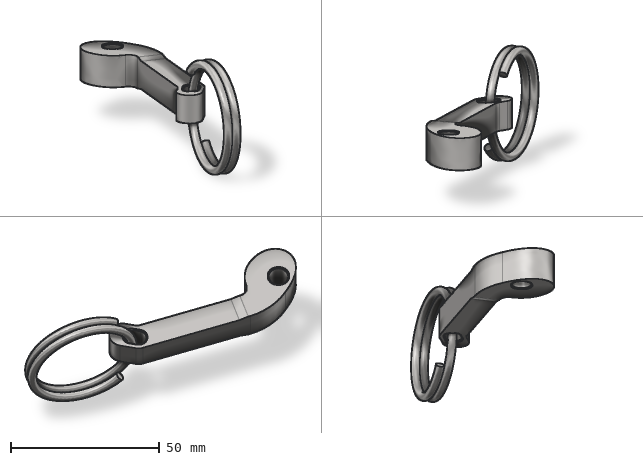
import math

import cadquery as cq


overall_length = 99.4

head_thickness = 11.2
arm_thickness = 9.9
taper_start_x = 22.2
taper_end_x = 25.3
profile_margin = 1.0

arm_width = 8.9
arm_top_y = 23.3
arm_bottom_y = arm_top_y - arm_width
arm_middle_y = arm_top_y - arm_width / 2
bend_x = 59.7
bend_angle = math.radians(30)
bend_to_tip = 5.6
inner_bend_radius = 3.5

shoulder_start_x = 21.5
shoulder_end = (7.2, 18.0)
head_edge_points = [
    (2.5, 13.3),
    (0, 7.0),
    (2.0, 2.1),
    (7.2, 0),
    (13.2, 1.8),
    (17.1, 5.5),
]
head_edge_start_direction = (-0.8, -0.6)
head_edge_end_direction = (0, 1)
head_right_x = 18.7
neck_radius = 3.2

pin_hole_diameter = 6.6
pin_hole_center = (7.3, 11.1)
slot_width = 5.4
slot_center_distance = 2.4
edge_chamfer = 0.4
chamfer_angle = 45

wire_diameter = 3.0
ring_outer_radius = 19.6
ring_center_x = overall_length - ring_outer_radius
ring_start_y = 15.5
coil_advance = 5.3
coil_turns = 1.75
coil_pitch = coil_advance / coil_turns
ring_start_angle = 135


def beside_bend(along, across):
    """Point measured from the bend: along the turned centre line and to its upper side."""
    cos_bend = math.cos(bend_angle)
    sin_bend = math.sin(bend_angle)
    return (
        bend_x + along * cos_bend + across * sin_bend,
        arm_middle_y - along * sin_bend + across * cos_bend,
    )


def make_plan():
    """Outline of the lever in the XY plane, extruded to the full head thickness."""
    half_width = arm_width / 2
    half_bend = bend_angle / 2
    corner_offset = half_width * math.tan(half_bend)
    tangent_length = inner_bend_radius * math.tan(half_bend)
    inner_bend_start = (bend_x - corner_offset - tangent_length, arm_bottom_y)
    inner_bend_end = beside_bend(corner_offset + tangent_length, -half_width)
    outer_bend_middle = (
        bend_x + half_width * math.sin(half_bend),
        arm_middle_y + half_width * math.cos(half_bend),
    )
    neck_arm_point = (head_right_x + neck_radius, arm_bottom_y)
    neck_head_point = (head_right_x, arm_bottom_y - neck_radius)
    neck_inset = neck_radius * (1 - math.sqrt(0.5))
    neck_middle = (head_right_x + neck_inset, arm_bottom_y - neck_inset)
    return (
        cq.Workplane("XY")
        .workplane(offset=-head_thickness / 2)
        .moveTo(bend_x, arm_top_y)
        .lineTo(shoulder_start_x, arm_top_y)
        .tangentArcPoint(shoulder_end, relative=False)
        .spline(
            head_edge_points + [neck_head_point],
            tangents=[head_edge_start_direction, head_edge_end_direction],
            scale=False,
            includeCurrent=True,
        )
        .threePointArc(neck_middle, neck_arm_point)
        .lineTo(*inner_bend_start)
        .tangentArcPoint(inner_bend_end, relative=False)
        .lineTo(*beside_bend(bend_to_tip, -half_width))
        .threePointArc(beside_bend(bend_to_tip + half_width, 0), beside_bend(bend_to_tip, half_width))
        .lineTo(*beside_bend(0, half_width))
        .threePointArc(outer_bend_middle, (bend_x, arm_top_y))
        .close()
        .extrude(head_thickness)
    )


def make_side_profile():
    """Side shape of the lever: thick head, short taper, thinner arm.

    It reaches past the plan outline on all sides, so it shapes only the two faces.
    """
    profile_end_x = bend_x + bend_to_tip + arm_width
    upper_edge = [
        (-profile_margin, head_thickness / 2),
        (taper_start_x, head_thickness / 2),
        (taper_end_x, arm_thickness / 2),
        (profile_end_x, arm_thickness / 2),
    ]
    lower_edge = [(x, -z) for x, z in reversed(upper_edge)]
    return (
        cq.Workplane("XZ", origin=(0, -profile_margin, 0))
        .polyline(upper_edge + lower_edge)
        .close()
        .extrude(-(arm_top_y + 2 * profile_margin))
    )


def draw_pin_hole(plane, margin):
    """Outline of the round hole, enlarged all round by the margin."""
    return plane.center(*pin_hole_center).circle(pin_hole_diameter / 2 + margin)


def draw_slot(plane, margin):
    """Outline of the slanted slot, enlarged all round by the margin."""
    width = slot_width + 2 * margin
    slot_center = beside_bend(slot_center_distance / 2, 0)
    return plane.center(*slot_center).slot2D(slot_center_distance + width, width, -math.degrees(bend_angle))


def make_opening(draw_outline, thickness):
    """Cutter for an opening through the lever, widened by a chamfer at both faces."""
    bottom_plane = cq.Workplane("XY", origin=(0, 0, -thickness / 2))
    through = draw_outline(bottom_plane, 0).extrude(thickness)
    lower_flare = draw_outline(bottom_plane, edge_chamfer).extrude(edge_chamfer, taper=chamfer_angle)
    upper_flare = lower_flare.mirror("XY")
    return through.union(lower_flare).union(upper_flare)


def make_lever():
    """Cranked lever with a pin hole in its head and a slot for the ring at its tip."""
    blank = make_plan().intersect(make_side_profile())
    pin_hole = make_opening(draw_pin_hole, head_thickness)
    slot = make_opening(draw_slot, arm_thickness)
    return blank.cut(pin_hole).cut(slot)


def make_split_ring():
    """Wire coil running from one end, round the ring axis and backwards along +Y."""
    coil_radius = ring_outer_radius - wire_diameter / 2
    path = cq.Wire.makeHelix(coil_pitch, coil_advance, coil_radius)
    wire_start = cq.Plane(
        origin=(coil_radius, 0, 0),
        xDir=(1, 0, 0),
        normal=(0, 2 * math.pi * coil_radius, coil_pitch),
    )
    coil = cq.Workplane(wire_start).circle(wire_diameter / 2).sweep(cq.Workplane(path), isFrenet=True)
    return (
        coil.rotate((0, 0, 0), (1, 0, 0), -90)
        .rotate((0, 0, 0), (0, 1, 0), -ring_start_angle)
        .translate((ring_center_x, ring_start_y, 0))
    )


lever = make_lever()
split_ring = make_split_ring()

result = cq.Compound.makeCompound([lever.val(), split_ring.val()])